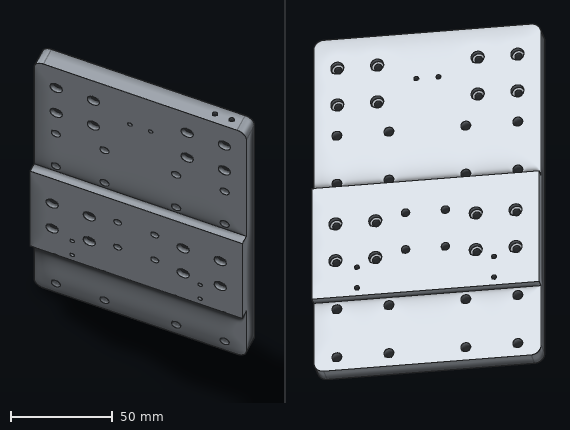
import cadquery as cq

width = 113.7
height = 179.4
plate_thickness = 10.0
pad_thickness = 5.0
corner_radius = 5.0

pad_height = 60.0
pad_top = 7.4

screw_diameter = 3.8
counterbore_diameter = 6.5
counterbore_depth = 3.0
screw_pitch = 20.0
screw_outer_x = 45.0
screw_tops = (74.0, -12.7)

clearance_diameter = 4.8
clearance_pitch = 26.0
clearance_outer_x = 45.2
clearance_tops = (37.3, -56.7)

centre_hole_diameter = 4.1
centre_hole_pitch = 20.0
centre_hole_top = -9.7

pin_diameter = 2.3
pin_depth = 5.0
pin_pitch = 11.1
plate_pin_z = 65.0
pad_pin_x = 34.3
pad_pin_top = -37.1

edge_hole_diameter = 2.5
edge_hole_depth = 10.0
edge_hole_pitch = 9.0
edge_hole_outer_x = 46.8

plate_front = 0.0
pad_front = -pad_thickness
total_thickness = plate_thickness + pad_thickness


def hole_cutter(points, diameter, front, depth):
    """Cylinders at the (x, z) points, running from y = front toward +Y."""
    plane = cq.Plane(origin=(0, front, 0), xDir=(1, 0, 0), normal=(0, -1, 0))
    return cq.Workplane(plane).pushPoints(points).circle(diameter / 2).extrude(-depth)


def mirrored_pairs(x, top_z, pitch):
    """An upright pair of points at x and its mirror image about X = 0."""
    return [(side * x, z) for side in (-1, 1) for z in (top_z, top_z - pitch)]


def mirrored_grid(outer_x, top_z, pitch):
    """A 2 x 2 grid of points and its mirror image about X = 0."""
    inner_x = outer_x - pitch
    return mirrored_pairs(outer_x, top_z, pitch) + mirrored_pairs(inner_x, top_z, pitch)


plate = (
    cq.Workplane("XY")
    .box(width, plate_thickness, height, centered=(True, False, True))
    .edges("|Y")
    .fillet(corner_radius)
)
pad = (
    cq.Workplane("XY")
    .box(width, pad_thickness, pad_height, centered=(True, False, False))
    .translate((0, pad_front, pad_top - pad_height))
)
result = plate.union(pad)

for top_z, front in zip(screw_tops, (plate_front, pad_front)):
    points = mirrored_grid(screw_outer_x, top_z, screw_pitch)
    result = result.cut(hole_cutter(points, screw_diameter, pad_front, total_thickness))
    result = result.cut(hole_cutter(points, counterbore_diameter, front, counterbore_depth))

for top_z in clearance_tops:
    points = mirrored_grid(clearance_outer_x, top_z, clearance_pitch)
    result = result.cut(hole_cutter(points, clearance_diameter, plate_front, plate_thickness))

centre_points = mirrored_pairs(centre_hole_pitch / 2, centre_hole_top, centre_hole_pitch)
result = result.cut(hole_cutter(centre_points, centre_hole_diameter, pad_front, total_thickness))

plate_pins = [(side * pin_pitch / 2, plate_pin_z) for side in (-1, 1)]
pad_pins = mirrored_pairs(pad_pin_x, pad_pin_top, pin_pitch)
result = result.cut(hole_cutter(plate_pins, pin_diameter, plate_front, pin_depth))
result = result.cut(hole_cutter(pad_pins, pin_diameter, pad_front, pin_depth))

edge_points = [
    (x, plate_thickness / 2)
    for x in (edge_hole_outer_x, edge_hole_outer_x - edge_hole_pitch)
]
edge_holes = (
    cq.Workplane("XY", origin=(0, 0, height / 2))
    .pushPoints(edge_points)
    .circle(edge_hole_diameter / 2)
    .extrude(-edge_hole_depth)
)
result = result.cut(edge_holes)